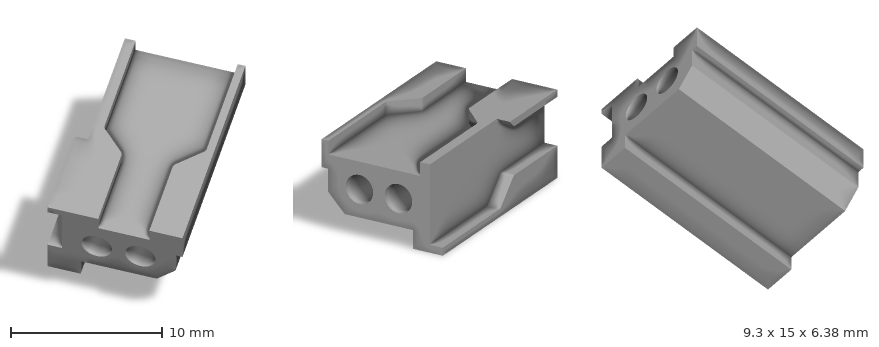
import cadquery as cq

width, length, height = 9.3, 15.0, 6.38

side_depth = 0.99
leg_width = 2.28
belly_z = 1.35
chamfer_start_x = 7.53
chamfer_top_z = 2.7
right_wall_x = 8.82
right_step_z = 4.35
lip_thickness = 0.52

flare_start_y = 5.7
flare_run = 1.75
flare_end_y = flare_start_y + flare_run
bend_radius = 0.76 / 2

ledge_front_z = 2.32
ledge_rear_z = ledge_front_z - flare_run
lip_z = height - lip_thickness

slot_depth = 0.99
slot_center_x = 5.25
slot_front_half = 1.762
slot_rear_half = slot_front_half + flare_run

hole_diameter = 2.1
hole_spacing = 3.0
hole_first_x = 3.39
hole_z = 3.38


def make_body():
    outline = [
        (0, 0), (leg_width, 0), (leg_width, belly_z), (chamfer_start_x, belly_z),
        (right_wall_x, chamfer_top_z), (right_wall_x, right_step_z),
        (width, right_step_z), (width, height), (0, height),
    ]
    return cq.Workplane("XZ").polyline(outline).close().extrude(-length)


def make_side_channel():
    """Channel that widens toward the rear and breaks out through the top."""
    outline = [
        (0, ledge_front_z), (flare_start_y, ledge_front_z), (flare_end_y, ledge_rear_z),
        (length, ledge_rear_z), (length, lip_z + flare_run),
        (flare_end_y, lip_z + flare_run), (flare_start_y, lip_z), (0, lip_z),
    ]
    channel = cq.Workplane("YZ").polyline(outline).close().extrude(side_depth)
    return round_flare_bends(channel, "|X")


def make_top_slot():
    """Slot that widens symmetrically toward the rear."""
    left_front = slot_center_x - slot_front_half
    right_front = slot_center_x + slot_front_half
    left_rear = slot_center_x - slot_rear_half
    right_rear = slot_center_x + slot_rear_half
    outline = [
        (left_front, 0), (right_front, 0), (right_front, flare_start_y),
        (right_rear, flare_end_y), (right_rear, length), (left_rear, length),
        (left_rear, flare_end_y), (left_front, flare_start_y),
    ]
    floor = cq.Workplane("XY").workplane(offset=height - slot_depth)
    slot = floor.polyline(outline).close().extrude(slot_depth)
    return round_flare_bends(slot, "|Z")


def round_flare_bends(cutter, edge_direction):
    """Round the bends of a flare, leaving the corners at both ends sharp."""
    between_ends = cq.selectors.BoxSelector(
        (0, flare_start_y / 2, 0),
        (width, (flare_end_y + length) / 2, 2 * height),
    )
    return cutter.edges(edge_direction).edges(between_ends).fillet(bend_radius)


def make_holes():
    centers = [(hole_first_x, hole_z), (hole_first_x + hole_spacing, hole_z)]
    return cq.Workplane("XZ").pushPoints(centers).circle(hole_diameter / 2).extrude(-length)


result = make_body().cut(make_side_channel()).cut(make_top_slot()).cut(make_holes())